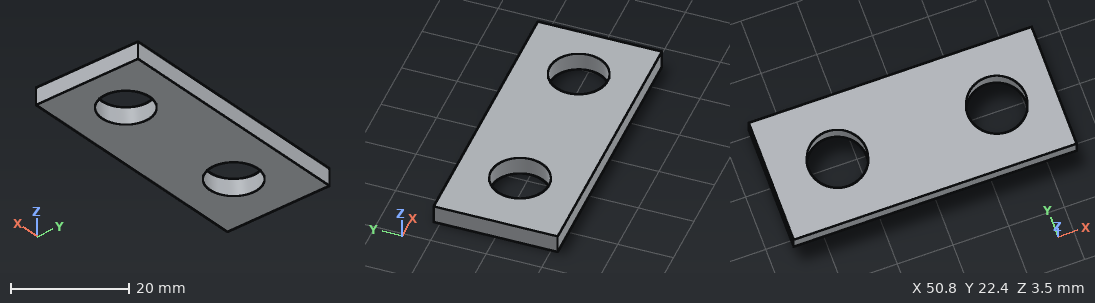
import cadquery as cq

length = 50.8
width = 22.35
thickness = 3.5

hole_diameter = 10.4
hole_spacing = 28.6
first_hole_from_end = 11.9

first_hole_x = first_hole_from_end - length / 2
hole_centers = [(first_hole_x, 0), (first_hole_x + hole_spacing, 0)]

plate = cq.Workplane("XY").box(length, width, thickness)

result = plate.faces(">Z").workplane().pushPoints(hole_centers).hole(hole_diameter)